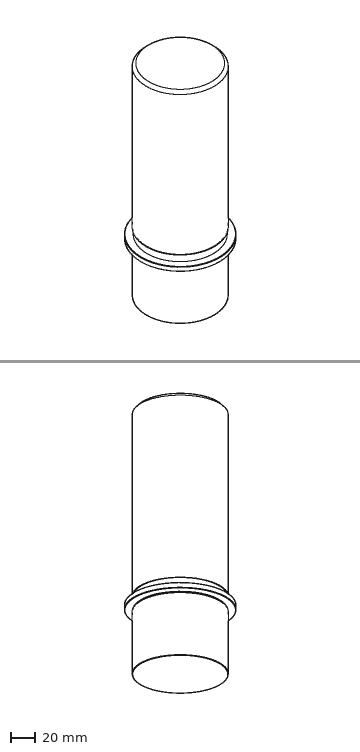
import cadquery as cq

total_height = 239.0
pin_diameter = 80.0
pin_radius = pin_diameter / 2
top_chamfer = 3.0
bottom_edge_chamfer = 0.5

collar_diameter = 93.0
collar_radius = collar_diameter / 2
collar_bottom = 58.3
collar_height = 5.0
collar_edge_chamfer = 0.5
neck_radius = 39.2
upper_neck_height = 7.5
lower_neck_height = 1.2

collar_top = collar_bottom + collar_height


def cylinder(radius, bottom, top):
    """Upright cylinder on the Z axis between two heights."""
    return cq.Workplane("XY").workplane(offset=bottom).circle(radius).extrude(top - bottom)


lower_shank = cylinder(pin_radius, 0, collar_bottom - lower_neck_height)
lower_shank = lower_shank.faces("<Z").chamfer(bottom_edge_chamfer)

upper_shank = cylinder(pin_radius, collar_top + upper_neck_height, total_height)
upper_shank = upper_shank.faces(">Z").edges().chamfer(top_chamfer)

collar = cylinder(collar_radius, collar_bottom, collar_top).edges().chamfer(collar_edge_chamfer)
lower_neck = cylinder(neck_radius, collar_bottom - lower_neck_height, collar_bottom)
upper_neck = cylinder(neck_radius, collar_top, collar_top + upper_neck_height)

result = lower_shank.union(lower_neck).union(collar).union(upper_neck).union(upper_shank)